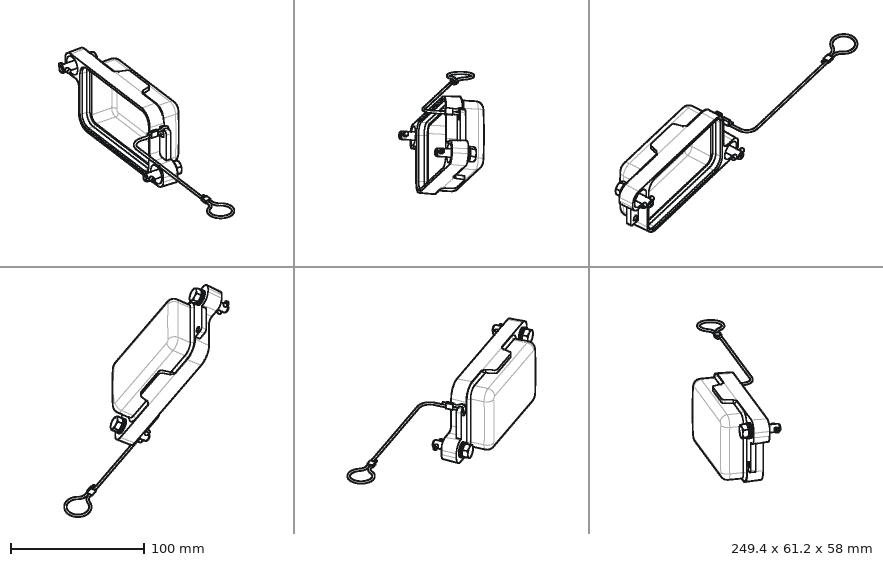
import cadquery as cq
import math


flange_length = 133.2
flange_height = 58.0
flange_depth = 12.5
flange_draft = 2.0
body_half_width = 48.5
body_corner_radius = 11.7
lobe_height = 19.2
lobe_corner_radius = 7.7
lobe_blend_radius = 3.7

lid_width = 88.8
lid_height = 52.4
lid_back = 31.2
lid_crown = 0.7
lid_corner_radius = 7.5
lid_edge_radius = 5.5
flare_width = 2.2
flare_rise = 2.0
wall = 2.2

opening_width = 92.3
opening_height = 52.9
opening_corner_radius = 8.7
lead_in_inset = 0.5
lead_in_depth = 1.5
straight_depth = 4.2
slope_inset = 1.0
slope_depth = 2.2
cavity_edge_radius = 2.7

grip_base_width = 34.5
grip_top_width = 28.5
grip_back = 22.7
grip_corner_radius = 2.5
grip_foot = 1.7

tab_half_span = 57.4
tab_thickness = 4.0
tab_end_z = 15.0
tab_corner_radius = 2.5
tab_hole_x = 51.9
tab_hole_z = 10.0
tab_hole_diameter = 4.2

screw_x = 56.5
screw_z = (flange_height - lobe_height) / 2
bore_diameter = 14.7
bore_depth = 10.0
shank_diameter = 6.2
shank_tip = -10.5
tip_chamfer = 1.0
collar_diameter = 11.7
collar_thickness = 2.7
tooth_count = 24
tooth_gap = 0.7
tooth_depth = 0.62
head_across_flats = 10.0
head_back = 19.7
cross_pin_diameter = 3.2
cross_pin_y = -6.7
cross_pin_blunt_reach = 6.0
cross_pin_domed_reach = 6.7
dome_chamfer = 0.7

wire_diameter = 2.0
strand_gap = 2.2
lanyard_x = 52.4
lanyard_z = 12.5
lanyard_y = -20.7
lanyard_end_x = 249.4 - flange_length / 2
bend_radius = 9.5
neck_straight = 2.2
crimp_length = 5.7
crimp_width = 4.7
crimp_height = 2.2
tail_length = 2.7
crimp_offset = neck_straight + crimp_length / 2
big_loop_radius = 9.35
big_loop_reach = 14.5
small_loop_radius = 2.5
small_loop_reach = 4.5
small_loop_y = 10.5


def facing_front(y):
    """Workplane at depth y whose extrusions run toward -Y."""
    return cq.Workplane("XZ", origin=(0, y, 0))


def both_ends(shape):
    """The shape together with its copy turned half round the Y axis."""
    return shape.union(shape.rotate((0, 0, 0), (0, 1, 0), 180))


def point_on_circle(centre, radius, angle, turn):
    """Point of a circle at an angle, turned about the origin, in degrees."""
    x = centre[0] + radius * math.cos(math.radians(angle))
    y = centre[1] + radius * math.sin(math.radians(angle))
    turn_cos = math.cos(math.radians(turn))
    turn_sin = math.sin(math.radians(turn))
    return x * turn_cos - y * turn_sin, x * turn_sin + y * turn_cos


def draft_angle(inset, depth):
    """Draft in degrees that moves a wall inward by the inset over the depth."""
    return math.degrees(math.atan2(inset, depth))


def rounded_prism(y, depth, width, height, radius, draft):
    """Rounded rectangle from y, narrowing by the draft; depth is positive toward -Y."""
    outline = cq.Sketch().rect(width, height).vertices().fillet(radius)
    return facing_front(y).placeSketch(outline).extrude(depth, taper=draft)


def crowned_box(y_front, y_back, width, height, corner_radius, edge_radius):
    """Box along Y with rounded corners, bulging back face and rounded rim."""
    half_height = height / 2
    box = (
        cq.Workplane("YZ", origin=(-width / 2, 0, 0))
        .moveTo(y_front, -half_height)
        .lineTo(y_back - lid_crown, -half_height)
        .threePointArc((y_back, 0), (y_back - lid_crown, half_height))
        .lineTo(y_front, half_height)
        .close()
        .extrude(width)
    )
    return box.edges("|Y").fillet(corner_radius).faces(">Y").edges().fillet(edge_radius)


def make_flange():
    half_length = flange_length / 2
    half_height = flange_height / 2
    inner_z = lobe_height - half_height
    lobe_corner_x = half_length - lobe_corner_radius
    body_centre = (body_half_width - body_corner_radius, half_height - body_corner_radius)
    blend_centre = (body_half_width + lobe_blend_radius, inner_z + lobe_blend_radius)
    upper_centre = (lobe_corner_x, inner_z - lobe_corner_radius)
    lower_centre = (lobe_corner_x, lobe_corner_radius - half_height)
    roundings = (
        (body_centre, body_corner_radius, 90, 0),
        (blend_centre, lobe_blend_radius, 180, 270),
        (upper_centre, lobe_corner_radius, 90, 0),
        (lower_centre, lobe_corner_radius, 0, -90),
    )
    outline = facing_front(flange_depth).moveTo(-lobe_corner_x, half_height)
    for turn in (0, 180):
        for centre, radius, first_angle, last_angle in roundings:
            middle_angle = (first_angle + last_angle) / 2
            start = point_on_circle(centre, radius, first_angle, turn)
            middle = point_on_circle(centre, radius, middle_angle, turn)
            end = point_on_circle(centre, radius, last_angle, turn)
            outline = outline.lineTo(*start).threePointArc(middle, end)
    return outline.close().extrude(flange_depth, taper=flange_draft)


def make_lid():
    box = crowned_box(0, lid_back, lid_width, lid_height, lid_corner_radius, lid_edge_radius)
    base = rounded_prism(
        flange_depth,
        flare_rise,
        lid_width + 2 * flare_width,
        lid_height + 2 * flare_width,
        lid_corner_radius + flare_width,
        draft_angle(flare_width, flare_rise),
    )
    base = base.mirror("XZ", (0, flange_depth, 0))
    return box.union(base)


def make_trapezoid(base_width, top_width, top_y):
    """Trapezoid standing on the flange's back, from mid-height to its top."""
    return (
        cq.Workplane("XY")
        .moveTo(-base_width / 2, flange_depth)
        .lineTo(base_width / 2, flange_depth)
        .lineTo(top_width / 2, top_y)
        .lineTo(-top_width / 2, top_y)
        .close()
        .extrude(flange_height / 2)
    )


def make_grip():
    grip = make_trapezoid(grip_base_width, grip_top_width, grip_back)
    grip = grip.edges("|Z and >Y").fillet(grip_corner_radius)
    foot = make_trapezoid(
        grip_base_width + 2 * grip_foot, grip_base_width - 2 * grip_foot, flange_depth + 2 * grip_foot
    )
    return grip.union(foot)


def make_tab():
    inner_x = body_half_width - wall / 2
    return (
        facing_front(flange_depth)
        .moveTo(inner_x, -screw_z)
        .lineTo(tab_half_span, -screw_z)
        .lineTo(tab_half_span, tab_end_z)
        .lineTo(inner_x, tab_end_z)
        .close()
        .extrude(tab_thickness)
        .edges("|Y and >X and >Z")
        .fillet(tab_corner_radius)
        .cut(
            facing_front(flange_depth)
            .center(tab_hole_x, tab_hole_z)
            .circle(tab_hole_diameter / 2)
            .extrude(tab_thickness)
        )
    )


def make_opening():
    straight_width = opening_width - 2 * lead_in_inset
    straight_height = opening_height - 2 * lead_in_inset
    straight_radius = opening_corner_radius - lead_in_inset
    slope_start = lead_in_depth + straight_depth
    lead_in = rounded_prism(
        0,
        -lead_in_depth,
        opening_width,
        opening_height,
        opening_corner_radius,
        draft_angle(lead_in_inset, lead_in_depth),
    )
    straight = rounded_prism(0, -slope_start, straight_width, straight_height, straight_radius, 0)
    slope = rounded_prism(
        slope_start,
        -slope_depth,
        straight_width,
        straight_height,
        straight_radius,
        draft_angle(slope_inset, slope_depth),
    )
    cavity = crowned_box(
        0,
        lid_back - wall,
        lid_width - 2 * wall,
        lid_height - 2 * wall,
        lid_corner_radius - wall,
        cavity_edge_radius,
    )
    return lead_in.union(straight).union(slope).union(cavity)


def make_head():
    across_corners = head_across_flats / math.cos(math.pi / 6)
    collar_back = flange_depth + collar_thickness
    hexagon = (
        facing_front(head_back)
        .transformed(rotate=(0, 0, 30))
        .polygon(6, across_corners)
        .extrude(head_back - collar_back)
    )
    corner_trim = (
        facing_front(head_back)
        .circle(across_corners / 2)
        .extrude(head_back - collar_back)
        .faces(">Y")
        .chamfer((across_corners - head_across_flats) / 2)
    )
    return hexagon.intersect(corner_trim)


def make_collar():
    collar = (
        facing_front(flange_depth + collar_thickness)
        .circle(collar_diameter / 2)
        .extrude(collar_thickness)
    )
    gaps = (
        facing_front(flange_depth + collar_thickness)
        .polarArray(collar_diameter / 2, 0, 360, tooth_count)
        .rect(2 * tooth_depth, tooth_gap)
        .extrude(collar_thickness)
    )
    return collar.cut(gaps)


def make_screw():
    shank = (
        facing_front(flange_depth)
        .circle(shank_diameter / 2)
        .extrude(flange_depth - shank_tip)
        .faces("<Y")
        .chamfer(tip_chamfer)
    )
    cross_pin = (
        cq.Workplane("YZ", origin=(-cross_pin_blunt_reach, cross_pin_y, 0))
        .circle(cross_pin_diameter / 2)
        .extrude(cross_pin_blunt_reach + cross_pin_domed_reach)
        .faces(">X")
        .chamfer(dome_chamfer)
    )
    return shank.union(cross_pin).union(make_collar()).union(make_head())


def make_eye(plane, loop_radius, reach):
    """Wire loop closed by a crimp.

    The plane's origin is the loop centre, its x axis points from the crimp
    to the loop, and the strand that goes on to the lanyard is on its -y side,
    starting halfway along the crimp.
    """
    half_gap = strand_gap / 2
    neck_radius = (reach**2 + half_gap**2 - loop_radius**2) / (2 * (loop_radius - half_gap))
    neck_y = half_gap + neck_radius
    neck_angle = math.atan2(reach, neck_y)
    loop_share = loop_radius / (loop_radius + neck_radius)
    joint_x = -reach * loop_share
    joint_y = neck_y * loop_share
    neck_mid_x = -reach + neck_radius * math.sin(neck_angle / 2)
    neck_mid_y = neck_y - neck_radius * math.cos(neck_angle / 2)
    crimp_x = -reach - crimp_offset
    tail_x = crimp_x - crimp_length / 2 - tail_length
    path = (
        cq.Workplane(plane)
        .moveTo(crimp_x, -half_gap)
        .lineTo(-reach, -half_gap)
        .threePointArc((neck_mid_x, -neck_mid_y), (joint_x, -joint_y))
        .threePointArc((loop_radius, 0), (joint_x, joint_y))
        .threePointArc((neck_mid_x, neck_mid_y), (-reach, half_gap))
        .lineTo(tail_x, half_gap)
    )
    start = cq.Plane(plane.toWorldCoords((crimp_x, -half_gap)), plane.yDir, plane.xDir)
    wire = cq.Workplane(start).circle(wire_diameter / 2).sweep(path)
    crimp = (
        cq.Workplane(plane)
        .center(crimp_x, 0)
        .rect(crimp_length, crimp_width)
        .extrude(crimp_height / 2, both=True)
    )
    return wire.union(crimp)


def make_lanyard():
    half_gap = strand_gap / 2
    big_loop_x = lanyard_end_x - big_loop_radius - wire_diameter / 2
    big_loop_y = lanyard_y + half_gap
    big_eye = make_eye(
        cq.Plane((big_loop_x, big_loop_y, lanyard_z), (1, 0, 0), (0, 0, 1)),
        big_loop_radius,
        big_loop_reach,
    )
    small_eye = make_eye(
        cq.Plane((lanyard_x, small_loop_y, lanyard_z + half_gap), (0, 1, 0), (1, 0, 0)),
        small_loop_radius,
        small_loop_reach,
    )
    bend_mid = bend_radius * (1 - math.sqrt(0.5))
    start_y = small_loop_y - small_loop_reach - crimp_offset
    path = (
        cq.Workplane("XY", origin=(0, 0, lanyard_z))
        .moveTo(lanyard_x, start_y)
        .lineTo(lanyard_x, lanyard_y + bend_radius)
        .threePointArc(
            (lanyard_x + bend_mid, lanyard_y + bend_mid),
            (lanyard_x + bend_radius, lanyard_y),
        )
        .lineTo(big_loop_x - big_loop_reach - crimp_offset, lanyard_y)
    )
    strand = (
        cq.Workplane("XZ", origin=(lanyard_x, start_y, lanyard_z))
        .circle(wire_diameter / 2)
        .sweep(path)
    )
    return strand.union(big_eye).union(small_eye)


def make_bore():
    return facing_front(bore_depth).circle(bore_diameter / 2).extrude(bore_depth)


screw_seat = (screw_x, 0, -screw_z)
cover = make_flange().union(make_lid())
cover = cover.union(both_ends(make_grip()))
cover = cover.union(both_ends(make_tab()))
cover = cover.cut(make_opening())
cover = cover.cut(both_ends(make_bore().translate(screw_seat)))
cover = cover.union(both_ends(make_screw().translate(screw_seat)))
result = cover.union(make_lanyard())